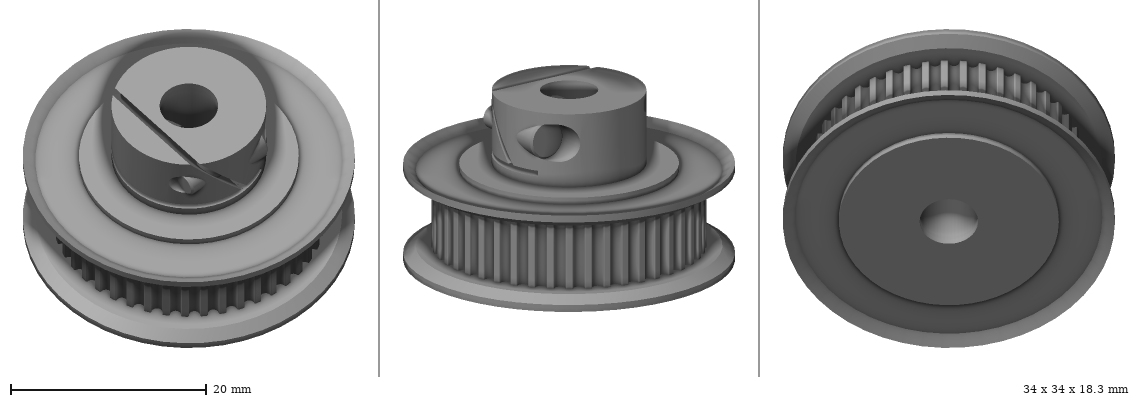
import cadquery as cq
import math

flange_radius = 17.0
flange_dish_radius = 15.7
flange_rim = 0.75
flange_height = 2 * flange_rim
core_radius = 11.25

belt_width = 7.4
belt_radius = 14.08
tooth_count = 45
groove_radius = 0.58
groove_lip = 0.17

hub_radius = 7.92
hub_height = 7.9
bore_radius = 3.0

slit_width = 0.6
flat_slit_base = 0.95
flat_slit_turn = 30.0
slant_slit_y = -4.62
slant_slit_angle = 50.0
slant_slit_length = 8.85

screw_x = 5.75
screw_drop = 3.15
screw_radius = 1.25
screw_tip_y = -5.47
screw_chamfer = 0.2
head_radius = 2.05
head_start_y = 1.55
head_end_y = 4.1

belt_base = flange_height
core_top = 2 * flange_height + belt_width
hub_top = core_top + hub_height
screw_z = hub_top - screw_drop


def make_cylinder(radius, base, top):
    return cq.Workplane("XY").workplane(offset=base).circle(radius).extrude(top - base)


def make_flange():
    """Lower flange: a dished ring around the core, its recess facing down."""
    section = [
        (0, 0),
        (core_radius, 0),
        (core_radius, flange_rim),
        (flange_dish_radius, flange_rim),
        (flange_radius, 0),
        (flange_radius, flange_rim),
        (flange_dish_radius, flange_height),
        (0, flange_height),
    ]
    return cq.Workplane("XZ").polyline(section).close().revolve(360, (0, 0), (0, 1))


def make_groove():
    """Cutter for the tooth groove on +Y: half-round bottom with rounded lips."""
    lip_base = belt_radius - groove_lip
    bottom = lip_base - groove_radius
    mouth = groove_radius + groove_lip
    lip_middle = groove_lip * math.sqrt(0.5)
    lip_middle_x = mouth - lip_middle
    lip_middle_y = lip_base + lip_middle
    outside = belt_radius + groove_lip
    return (
        cq.Workplane("XY")
        .workplane(offset=belt_base)
        .moveTo(-groove_radius, lip_base)
        .threePointArc((0, bottom), (groove_radius, lip_base))
        .threePointArc((lip_middle_x, lip_middle_y), (mouth, belt_radius))
        .lineTo(mouth, outside)
        .lineTo(-mouth, outside)
        .lineTo(-mouth, belt_radius)
        .threePointArc((-lip_middle_x, lip_middle_y), (-groove_radius, lip_base))
        .close()
        .extrude(belt_width)
    )


def make_belt_face():
    groove = make_groove().val()
    pitch_angle = 360 / tooth_count
    grooves = [
        groove.rotate(cq.Vector(0, 0, 0), cq.Vector(0, 0, 1), index * pitch_angle)
        for index in range(tooth_count)
    ]
    blank = make_cylinder(belt_radius, belt_base, belt_base + belt_width)
    return cq.Workplane(blank.val().cut(*grooves))


def make_flat_slit():
    """Horizontal slit through half of the hub, bounded by a plane through the axis."""
    return (
        cq.Workplane("XY")
        .box(2 * flange_radius, flange_radius, slit_width, centered=(True, False, False))
        .translate((0, -flange_radius, core_top + flat_slit_base))
        .rotate((0, 0, 0), (0, 0, 1), flat_slit_turn)
    )


def make_slant_slit():
    """Slit along X that slopes down from the hub top towards +Y."""
    overrun = 2 * slit_width
    return (
        cq.Workplane("XY")
        .box(2 * flange_radius, slant_slit_length + overrun, slit_width)
        .translate((0, (slant_slit_length - overrun) / 2, 0))
        .rotate((0, 0, 0), (1, 0, 0), -slant_slit_angle)
        .translate((0, slant_slit_y, hub_top))
    )


def make_screw_cylinder(radius, start_y, end_y):
    """Cylinder on the screw axis between two places along Y."""
    screw_plane = cq.Plane(origin=(screw_x, start_y, screw_z), xDir=(1, 0, 0), normal=(0, 1, 0))
    return cq.Workplane(screw_plane).circle(radius).extrude(end_y - start_y)


def make_screw():
    shank = make_screw_cylinder(screw_radius, screw_tip_y, head_start_y)
    head = make_screw_cylinder(head_radius, head_start_y, head_end_y)
    return shank.faces("<Y").chamfer(screw_chamfer).union(head.faces(">Y").chamfer(screw_chamfer))


def make_screw_hole():
    """Hole through the hub for the screw, counterbored for its head."""
    hole = make_screw_cylinder(screw_radius, -flange_radius, head_start_y)
    return hole.union(make_screw_cylinder(head_radius, head_start_y, flange_radius))


lower_flange = make_flange()
upper_flange = lower_flange.mirror("XY").translate((0, 0, core_top))
hub = (
    make_cylinder(hub_radius, core_top, hub_top)
    .cut(make_flat_slit())
    .cut(make_slant_slit())
    .cut(make_screw_hole())
    .union(make_screw())
)
bore = make_cylinder(bore_radius, 0, hub_top)

result = make_belt_face().union(lower_flange).union(upper_flange).union(hub).cut(bore)